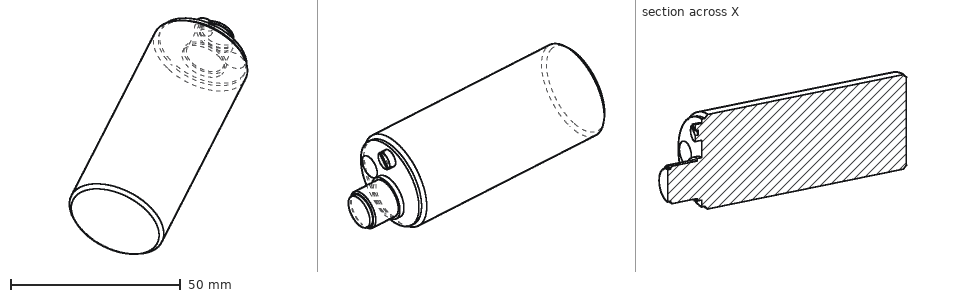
import cadquery as cq
import math

total_length = 81.0
body_diameter = 30.0
front_chamfer = 1.05

cap_diameter = 27.8
cap_height = 1.0
rear_chamfer = (body_diameter - cap_diameter) / 2
connector_projection = 11.5
cap_face_y = total_length - connector_projection
body_length = cap_face_y - cap_height

connector_z = -5.0
connector_diameter = 12.0
connector_chamfer = 0.5
flange_diameter = 13.5
flange_height = 1.5
tip_diameter = 10.3
tip_length = 1.05

knob_diameter = 5.5
knob_height = 2.2
knob_z = 9.8
slot_width = 1.0
slot_depth = 1.05
slot_angle = 45

lens_x = 9.55
lens_radius = 3.6
lens_height = 0.7
lens_embedding = 0.5


def cylinder_along_y(diameter, start_y, length, x=0, z=0):
    """Solid cylinder running from start_y towards +Y."""
    plane = cq.Plane(origin=(x, start_y, z), xDir=(1, 0, 0), normal=(0, 1, 0))
    return cq.Workplane(plane).circle(diameter / 2).extrude(length)


def make_housing():
    body = cylinder_along_y(body_diameter, 0, body_length)
    body = body.faces("<Y").chamfer(front_chamfer)
    body = body.faces(">Y").chamfer(rear_chamfer)
    return body.union(cylinder_along_y(cap_diameter, body_length, cap_height))


def make_connector():
    barrel_length = connector_projection - tip_length
    barrel = cylinder_along_y(connector_diameter, cap_face_y, barrel_length, z=connector_z)
    barrel = barrel.faces(">Y").chamfer(connector_chamfer)
    flange = cylinder_along_y(flange_diameter, cap_face_y, flange_height, z=connector_z)
    tip = cylinder_along_y(tip_diameter, total_length - tip_length, tip_length, z=connector_z)
    return barrel.union(flange).union(tip)


def make_knob():
    knob = cylinder_along_y(knob_diameter, cap_face_y, knob_height, z=knob_z)
    slot_y = cap_face_y + knob_height - slot_depth / 2
    slot = cq.Workplane("XY").box(2 * knob_diameter, slot_depth, slot_width)
    slot = slot.rotate((0, 0, 0), (0, 1, 0), -slot_angle).translate((0, slot_y, knob_z))
    return knob.cut(slot)


def make_lens():
    rim_x = lens_x + lens_radius
    sphere_radius = (lens_radius**2 + lens_height**2) / (2 * lens_height)
    half_angle = math.asin(lens_radius / sphere_radius) / 2
    mid_x = lens_x + sphere_radius * math.sin(half_angle)
    mid_y = cap_face_y + lens_height - sphere_radius * (1 - math.cos(half_angle))
    return (
        cq.Workplane("XY")
        .moveTo(lens_x, cap_face_y - lens_embedding)
        .lineTo(rim_x, cap_face_y - lens_embedding)
        .lineTo(rim_x, cap_face_y)
        .threePointArc((mid_x, mid_y), (lens_x, cap_face_y + lens_height))
        .close()
        .revolve(360, (lens_x, 0), (lens_x, 1))
    )


result = make_housing().union(make_connector()).union(make_knob()).union(make_lens())